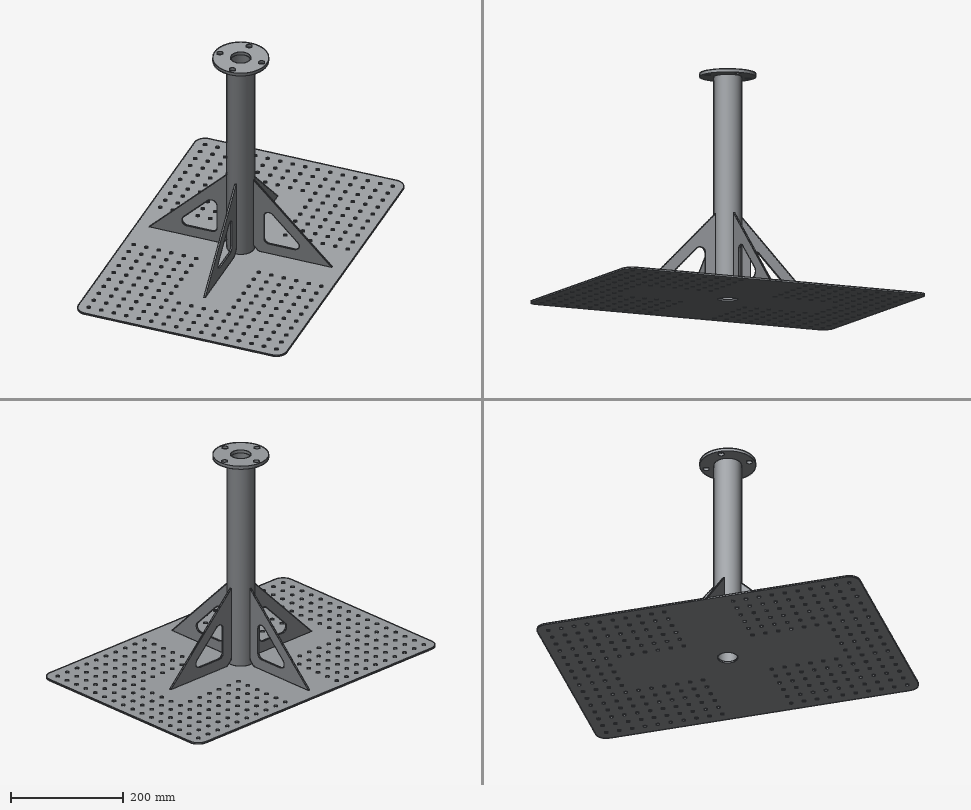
import cadquery as cq
import math

plate_length = 600.0
plate_width = plate_length * 2 / 3
plate_thickness = 3.0

grid_hole_diameter = 6.5
grid_pitch = 24.0
grid_columns = 16
grid_rows_per_half = 10
full_rows_per_half = 4
side_columns = 6
grid_width = (grid_columns - 1) * grid_pitch

edge_margin = (plate_width - grid_width) / 2
plate_corner_radius = edge_margin

flange_diameter = plate_width / 4
flange_thickness = 6.0
flange_hole_count = 4
flange_hole_diameter = 11.0
flange_bolt_circle_radius = 40.0

column_height = plate_width
column_diameter = flange_diameter / 2
bore_diameter = 36.0

gusset_count = 4
gusset_leg = 150.0
gusset_thickness = 3.0
gusset_corner_cut = 10.0
window_corner_radius = edge_margin / 2

column_base_z = plate_thickness
flange_base_z = column_base_z + column_height


def grid_points():
    """Hole centres, mirrored about the X axis, leaving the area around the column clear."""
    first_x = -grid_width / 2
    first_y = plate_length / 2 - edge_margin
    points = []
    for row in range(grid_rows_per_half):
        y = first_y - row * grid_pitch
        for column in range(grid_columns):
            in_side_block = column < side_columns or column >= grid_columns - side_columns
            if row < full_rows_per_half or in_side_block:
                x = first_x + column * grid_pitch
                points += [(x, y), (x, -y)]
    return points


def make_base_plate():
    plate = (
        cq.Workplane("XY")
        .rect(plate_width, plate_length)
        .extrude(plate_thickness)
        .edges("|Z")
        .fillet(plate_corner_radius)
    )
    grid_holes = (
        cq.Workplane("XY")
        .pushPoints(grid_points())
        .circle(grid_hole_diameter / 2)
        .extrude(plate_thickness)
    )
    bore = cq.Workplane("XY").circle(bore_diameter / 2).extrude(plate_thickness)
    return plate.cut(grid_holes).cut(bore)


def make_column():
    return (
        cq.Workplane("XY", origin=(0, 0, column_base_z))
        .circle(column_diameter / 2)
        .circle(bore_diameter / 2)
        .extrude(column_height)
    )


def make_flange():
    flange = (
        cq.Workplane("XY", origin=(0, 0, flange_base_z))
        .circle(flange_diameter / 2)
        .circle(bore_diameter / 2)
        .extrude(flange_thickness)
    )
    bolt_holes = (
        cq.Workplane("XY", origin=(0, 0, flange_base_z))
        .polarArray(flange_bolt_circle_radius, 0, 360, flange_hole_count)
        .circle(flange_hole_diameter / 2)
        .extrude(flange_thickness)
    )
    return flange.cut(bolt_holes)


def make_gusset(angle):
    """Upright right-angled plate against the column, turned about Z by the angle."""
    corner = cq.Workplane("XZ", origin=(column_diameter / 2, 0, column_base_z))
    body = (
        corner
        .moveTo(gusset_corner_cut, 0)
        .lineTo(gusset_leg, 0)
        .lineTo(0, gusset_leg)
        .lineTo(0, gusset_corner_cut)
        .close()
        .extrude(gusset_thickness / 2, both=True)
    )
    window_far = gusset_leg - edge_margin - math.sqrt(2) * edge_margin
    window = (
        corner
        .moveTo(edge_margin, edge_margin)
        .lineTo(window_far, edge_margin)
        .lineTo(edge_margin, window_far)
        .close()
        .extrude(gusset_thickness / 2, both=True)
        .edges("|Y")
        .fillet(window_corner_radius)
    )
    return body.cut(window).rotate((0, 0, 0), (0, 0, 1), angle)


base_plate = make_base_plate()
column = make_column()
flange = make_flange()
gussets = [make_gusset(index * 360 / gusset_count) for index in range(gusset_count)]

result = cq.Compound.makeCompound(
    [base_plate.val(), column.val(), flange.val(), *[gusset.val() for gusset in gussets]]
)